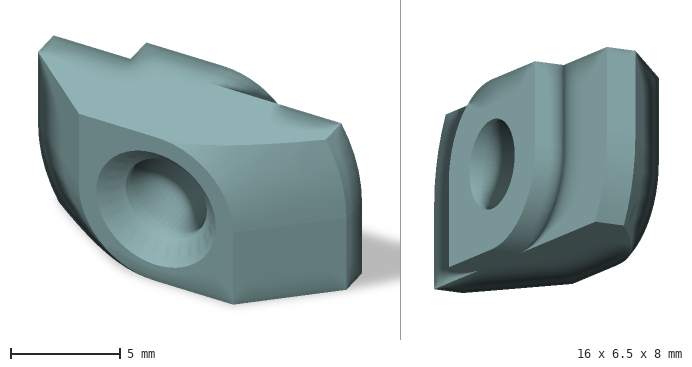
import cadquery as cq

length = 16.0
height = 8.0
taper_depth = 3.5
flange_depth = 1.5
boss_depth = 1.5

hole_diameter = 4.2
countersink_diameter = 6.2
countersink_depth = 1.0

wing_reach = length / 2
boss_reach = height / 2
head_depth = taper_depth + flange_depth
total_depth = head_depth + boss_depth

side_profile = [
    (boss_reach, 0),
    (wing_reach, taper_depth),
    (wing_reach, head_depth),
    (boss_reach, head_depth),
    (boss_reach, total_depth),
]


def revolve_about_screw_axis(outer_points):
    """Solid of revolution between the screw axis and the (radius, y) points."""
    closed_points = [(0, 0)] + outer_points + [(0, total_depth)]
    profile = cq.Workplane("XY").polyline(closed_points).close()
    return profile.revolve(360, (0, 0, 0), (0, 1, 0))


def round_envelope():
    """Cone, flange disc and boss cylinder that shape the two rounded quadrants."""
    return revolve_about_screw_axis(side_profile)


def square_envelope():
    """Straight prism with sloped ends that shapes the two square quadrants."""
    mirrored_profile = [(-x, y) for x, y in reversed(side_profile)]
    outline = cq.Workplane("XY").polyline(side_profile + mirrored_profile).close()
    return outline.extrude(height / 2, both=True)


def quadrant(x_side, z_side):
    """Box that fills one quadrant around the screw axis, over the full depth."""
    box = cq.Workplane("XY").box(wing_reach, total_depth, height / 2)
    return box.translate((x_side * wing_reach / 2, total_depth / 2, z_side * height / 4))


def nut_body():
    """Join diagonal pairs of rounded and square quadrants."""
    body = cq.Workplane("XY")
    for side in (1, -1):
        body = body.add(round_envelope().intersect(quadrant(side, side)))
        body = body.add(square_envelope().intersect(quadrant(-side, side)))
    return body.combine(clean=True)


def screw_hole():
    """Through hole with a conical lead-in on the small face."""
    return revolve_about_screw_axis([
        (countersink_diameter / 2, 0),
        (hole_diameter / 2, countersink_depth),
        (hole_diameter / 2, total_depth),
    ])


result = nut_body().cut(screw_hole())